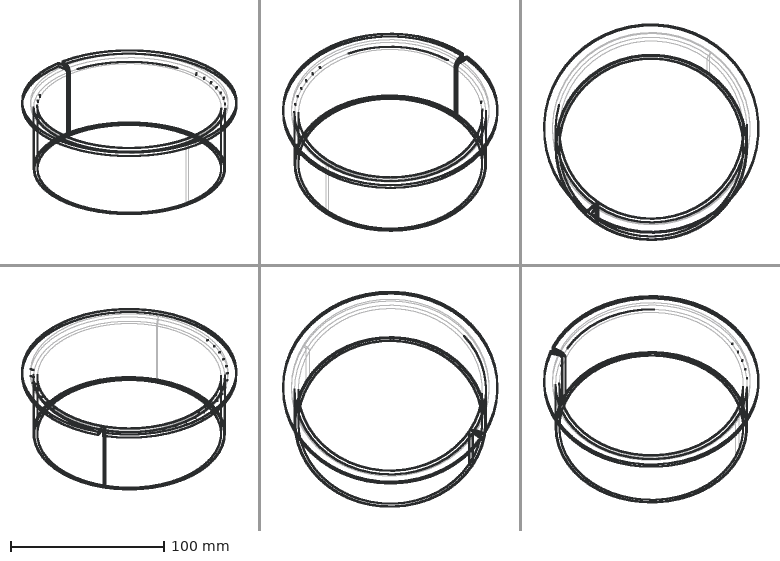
import cadquery as cq
import math

bore_diameter = 120.0
wall = 2.5
flange_diameter = 140.0
height = 50.0
inner_bend_radius = 2.0
bottom_chamfer = 0.5

split_offset = -2.3
bore_gap_width = 0.1
flange_gap_width = 3.4

bore_radius = bore_diameter / 2
sleeve_radius = bore_radius + wall
flange_radius = flange_diameter / 2
outer_bend_radius = inner_bend_radius + wall
bend_center_radius = sleeve_radius + inner_bend_radius
bend_center_z = height - outer_bend_radius
arc_midpoint = math.sqrt(0.5)


def bend_midpoint(radius):
    """Point halfway round the bend, at the given radius from the bend center."""
    offset = radius * arc_midpoint
    return (bend_center_radius - offset, bend_center_z + offset)


def flanged_sleeve():
    """Sleeve and flange of constant wall, joined by a rounded bend."""
    return (
        cq.Workplane("XZ")
        .moveTo(bore_radius, 0)
        .lineTo(bore_radius, bend_center_z)
        .threePointArc(bend_midpoint(outer_bend_radius), (bend_center_radius, height))
        .lineTo(flange_radius, height)
        .lineTo(flange_radius, height - wall)
        .lineTo(bend_center_radius, height - wall)
        .threePointArc(bend_midpoint(inner_bend_radius), (sleeve_radius, bend_center_z))
        .lineTo(sleeve_radius, bottom_chamfer)
        .lineTo(sleeve_radius - bottom_chamfer, 0)
        .close()
        .revolve(360, (0, 0, 0), (0, 1, 0))
    )


def split_cutter():
    """Full-height wedge through the wall, widening evenly from the bore to the flange rim."""
    half_bore_gap = bore_gap_width / 2
    half_flange_gap = flange_gap_width / 2
    inner_x = -(bore_radius - wall)
    return (
        cq.Workplane("XY")
        .moveTo(inner_x, split_offset + half_bore_gap)
        .lineTo(-bore_radius, split_offset + half_bore_gap)
        .lineTo(-flange_radius, split_offset + half_flange_gap)
        .lineTo(-flange_radius, split_offset - half_flange_gap)
        .lineTo(-bore_radius, split_offset - half_bore_gap)
        .lineTo(inner_x, split_offset - half_bore_gap)
        .close()
        .extrude(height)
    )


result = flanged_sleeve().cut(split_cutter())